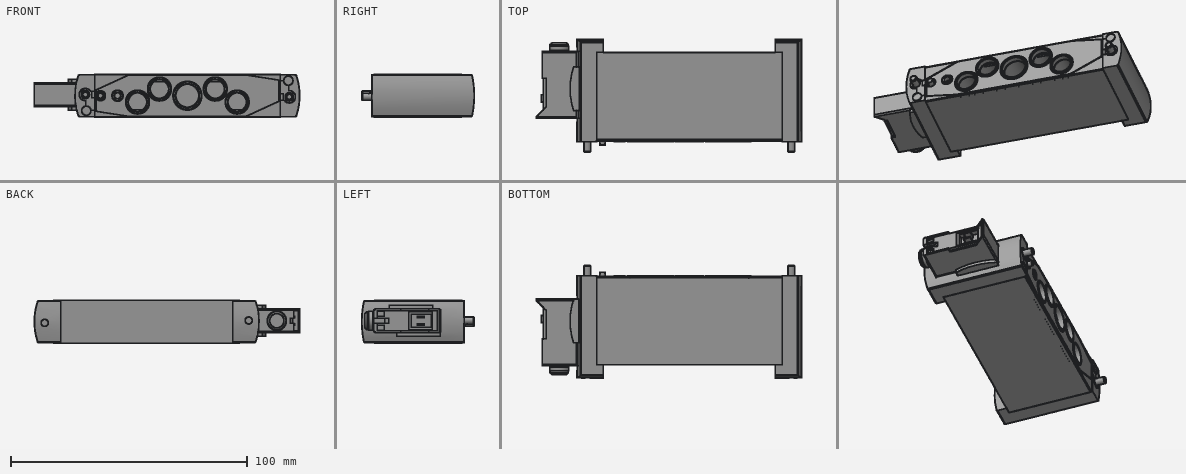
import cadquery as cq


body_half_length = 39.2
body_half_height = 9.15
body_front = 1.0
nose_front = 0.55
nose_half_height = 8.9
body_back = 37.8

cap_half_height = 8.95
cap_end = 47.5
cap_end_shoulder = 46.1
cap_back = 43.3
cap_back_shoulder = 42.4
cap_bevel_run = 0.5
cap_bevel_drop = 0.4
cap_hook_inner = 36.3

gasket_front = 0.27
gasket_back = 2.6
ear_back = 1.0
ear_bridge_front = 0.5
ear_dimple_depth = 0.2
gasket_outline = [
    (-25.0, 8.65), (-38.6, 2.4), (-38.6, -6.6), (-25.2, -8.65),
    (25.0, -8.65), (38.6, -2.4), (38.6, 6.6), (25.2, 8.65),
]
lip_slope = 0.26
main_port_diameter = 10.1
main_lip_diameter = 12.2
side_port_diameter = 8.1
main_passage_diameter = 9.7
side_passage_diameter = 7.8
side_lip_diameter = 10.1
inner_port_x, inner_port_z = 11.8, 2.8
outer_port_x, outer_port_z = 21.05, -2.7
port_depth = 10.0
port_flat = 5.95
port_shelf_thickness = 1.2
pilot_port_x = -29.5
pilot_lip_diameter = 4.75
pilot_port_diameter = 2.6
pilot_port_depth = 5.0

ear_corner_x = 42.9
ear_inner_x = 38.0
ear_bottom_z = -6.25
ear_button_x, ear_button_z = -42.7, -6.35
ear_button_diameter = 3.9
ear_ring_diameter = 5.2
ear_hole_diameter = 3.5
ear_slot_end_x = 40.5
ear_slot_width = 2.7
ear_slot_depth = 0.3

screw_x, screw_z = -43.1, 0.5
screw_diameter = 3.0
screw_tip = -4.3
screw_back = 40.0
screw_bevel = 0.4

locating_pin_x = -36.7
locating_pin_diameter = 3.0
locating_pin_tip_diameter = 2.2
locating_pin_tip = -1.4
locating_pin_clearance = 4.2

pilot_z = 0.4
pilot_height = 10.0
pilot_neck = -47.7
neck_height = 9.4
pilot_root = -46.0
pilot_face = -62.2
pilot_side_face = -60.4
pilot_core_face = -61.8
pilot_flare_tip = -64.7
pilot_front, pilot_back = 9.9, 38.2
pilot_lip = 0.7
pilot_bevel = 0.65
side_wall_back = 26.8
flare_run = pilot_side_face - pilot_flare_tip
flare_start = pilot_front + pilot_lip + flare_run
core_height = 8.5
core_front = 11.3
core_back = 36.7

socket_rim_front, socket_rim_back = 13.4, 23.4
socket_rim_height = 7.6
socket_rim_depth = 0.7
socket_front, socket_back = 14.0, 22.4
socket_height = 5.6
socket_depth = 3.0
contact_front, contact_back = 16.8, 19.9
contact_thickness = 0.6
contact_offset = 1.5
contact_tip = -62.6

catch_front, catch_back = 33.8, 36.7
catch_inner, catch_outer = 2.0, 4.1
catch_depth = 0.8
groove_front = 31.9
groove_ramp = 1.6
groove_width = 2.1
groove_depth = 1.2

knob_x = -55.0
knob_diameter = 7.8
knob_rib_diameter = 8.1
knob_rib_start, knob_rib_end = 0.5, 2.1
knob_height = 3.7
knob_bevel = 0.9

fin_tip = -50.4
fin_shoulder = -48.9
fin_root = -46.3
fin_length = 18.5
fin_thickness = 1.6
upper_fin_front = 13.2
lower_fin_front = 10.0


def box(x_start, x_end, y_start, y_end, z_start, z_end):
    """Block between the given limits."""
    size = (x_end - x_start, y_end - y_start, z_end - z_start)
    return cq.Workplane("XY", origin=(x_start, y_start, z_start)).box(*size, centered=False)


def rod(x, z, diameter, y_start, y_end):
    """Cylinder along Y."""
    plane = cq.Workplane("XZ", origin=(x, y_start, z))
    return plane.circle(diameter / 2).extrude(y_start - y_end)


def half_turn(shape):
    """The valve face repeats at its other end after half a turn about Y."""
    return shape.rotate((0, 0, 0), (0, 1, 0), 180)


def crowned_outline(plane, inner, shoulder, crown):
    """Section whose outer end is bevelled and bulges to a crown at mid height."""
    edge = cap_half_height - cap_bevel_drop
    return (
        plane.moveTo(inner, -cap_half_height)
        .lineTo(shoulder - cap_bevel_run, -cap_half_height)
        .lineTo(shoulder, -edge)
        .threePointArc((crown, 0), (shoulder, edge))
        .lineTo(shoulder - cap_bevel_run, cap_half_height)
        .lineTo(inner, cap_half_height)
        .close()
    )


def end_cap():
    """Right end cap: rounded outer end and back, hooked behind the body."""
    end_section = crowned_outline(
        cq.Workplane("XZ"), cap_hook_inner, cap_end_shoulder, cap_end
    ).extrude(-cap_back)
    back_section = crowned_outline(
        cq.Workplane("YZ"), 0, cap_back_shoulder, cap_back
    ).extrude(cap_end)
    body_space = box(
        0, body_half_length, 0, body_back, -body_half_height, body_half_height
    )
    return end_section.intersect(back_section).cut(body_space)


def ear_blank():
    """Left gasket ear, without holes: web, button and the ring around the screw."""
    web = box(
        -ear_corner_x, -ear_inner_x, 0, ear_back,
        ear_bottom_z, screw_z + ear_slot_width / 2,
    )
    button = rod(ear_button_x, ear_button_z, ear_button_diameter, 0, ear_back)
    ring = rod(screw_x, screw_z, ear_ring_diameter, 0, ear_back)
    return web.union(button).union(ring)


def side_ports():
    """Centres of the four side ports."""
    return [
        (side * x, z)
        for side in (-1, 1)
        for x, z in ((inner_port_x, inner_port_z), (outer_port_x, outer_port_z))
    ]


def side_port_passage(x, z):
    """Side port passage with a thin straight shelf towards the nearer broad face."""
    bore = rod(x, z, side_passage_diameter, gasket_back, gasket_back + port_depth)
    side = 1 if z > 0 else -1
    z_low, z_high = sorted((side * port_flat, side * body_half_height))
    shelf = box(
        x - side_passage_diameter, x + side_passage_diameter,
        gasket_back, gasket_back + port_shelf_thickness, z_low, z_high,
    )
    return bore.cut(shelf)


def clip_fin(front, z_start):
    """Thin fin on the left cap with a bowed outer edge."""
    back = front + fin_length
    return (
        cq.Workplane("XY", origin=(0, 0, z_start))
        .moveTo(fin_root, front)
        .lineTo(fin_shoulder, front)
        .threePointArc((fin_tip, (front + back) / 2), (fin_shoulder, back))
        .lineTo(fin_root, back)
        .close()
        .extrude(fin_thickness)
    )


def gasket_plate():
    """Solid plate in the shape of the gasket outline."""
    return (
        cq.Workplane("XZ", origin=(0, gasket_back, 0))
        .polyline(gasket_outline)
        .close()
        .extrude(gasket_back - gasket_front)
    )


def make_housing():
    """Body with both end caps, clip fins, port passages and locating pin."""
    housing = box(
        -body_half_length, body_half_length, body_front, body_back,
        -body_half_height, body_half_height,
    )
    nose = box(
        -body_half_length, body_half_length, nose_front, body_front,
        -nose_half_height, nose_half_height,
    )
    housing = housing.union(nose).cut(gasket_plate())
    right_cap = end_cap()
    housing = housing.union(right_cap).union(half_turn(right_cap))

    pilot_top = pilot_z + pilot_height / 2
    pilot_bottom = pilot_z - pilot_height / 2
    housing = housing.union(clip_fin(upper_fin_front, pilot_top))
    housing = housing.union(clip_fin(lower_fin_front, pilot_bottom - fin_thickness))

    for x, z in side_ports():
        housing = housing.cut(side_port_passage(x, z))
    housing = housing.cut(
        rod(0, 0, main_passage_diameter, gasket_back, gasket_back + port_depth)
    )
    housing = housing.cut(
        rod(pilot_port_x, 0, pilot_port_diameter, gasket_back, gasket_back + pilot_port_depth)
    )

    ear = ear_blank()
    screw_hole = rod(screw_x, screw_z, screw_diameter, 0, cap_back)
    for cutter in (ear, screw_hole):
        housing = housing.cut(cutter).cut(half_turn(cutter))

    pin = (
        cq.Workplane("XZ", origin=(locating_pin_x, gasket_back, 0))
        .circle(locating_pin_diameter / 2)
        .workplane(offset=gasket_back - locating_pin_tip)
        .circle(locating_pin_tip_diameter / 2)
        .loft()
    )
    return housing.union(pin)


def sealing_lip(x, z, diameter):
    """Raised disc with a sloped rim that stands out to the mounting face."""
    return rod(x, z, diameter, 0, gasket_back).faces("<Y").chamfer(lip_slope)


def make_gasket():
    """Flat gasket with lips around the ports and an ear around each screw."""
    slot = box(
        -ear_slot_end_x, -body_half_length, 0, ear_slot_depth,
        screw_z - ear_slot_width / 2, screw_z + ear_slot_width / 2,
    )
    bridge_step = box(
        -body_half_length, -ear_inner_x, 0, ear_bridge_front,
        -body_half_height, body_half_height,
    )
    dimple = rod(ear_button_x, ear_button_z, ear_button_diameter, 0, ear_dimple_depth)
    ring_hole = rod(screw_x, screw_z, ear_hole_diameter, 0, ear_back)
    ear = ear_blank()
    for cutter in (bridge_step, slot, dimple, ring_hole):
        ear = ear.cut(cutter)
    gasket = gasket_plate().union(ear).union(half_turn(ear))

    ports = [(x, z, side_lip_diameter, side_port_diameter) for x, z in side_ports()]
    ports.append((0, 0, main_lip_diameter, main_port_diameter))
    ports.append((pilot_port_x, 0, pilot_lip_diameter, pilot_port_diameter))
    for x, z, lip_diameter, _ in ports:
        gasket = gasket.union(sealing_lip(x, z, lip_diameter))
    for x, z, _, port_diameter in ports:
        gasket = gasket.cut(rod(x, z, port_diameter, 0, gasket_back))
    return gasket.cut(rod(locating_pin_x, 0, locating_pin_clearance, 0, gasket_back))


def pilot_knob():
    """Round ribbed knob on the back of the solenoid."""
    knob = rod(knob_x, pilot_z, knob_diameter, pilot_back, pilot_back + knob_height)
    knob = knob.faces(">Y").chamfer(knob_bevel)
    rib = rod(
        knob_x, pilot_z, knob_rib_diameter, pilot_back + knob_rib_start, pilot_back + knob_rib_end
    )
    return knob.union(rib)


def pilot_block(y_start, y_end, height, outer_face, depth):
    """Block centred on the solenoid's mid height, reaching inwards from a face."""
    return box(
        outer_face, outer_face + depth, y_start, y_end,
        pilot_z - height / 2, pilot_z + height / 2,
    )


def make_pilot():
    """Pilot solenoid with flared edge, plug socket, contacts and knob."""
    pilot = (
        cq.Workplane("XY", origin=(0, 0, pilot_z - pilot_height / 2))
        .polyline([
            (pilot_neck, pilot_back),
            (pilot_face, pilot_back),
            (pilot_face, side_wall_back),
            (pilot_side_face, side_wall_back),
            (pilot_side_face, flare_start),
            (pilot_flare_tip, pilot_front + pilot_lip),
            (pilot_flare_tip, pilot_front),
            (pilot_neck, pilot_front),
        ])
        .close()
        .extrude(pilot_height)
    )
    pilot = pilot.faces("<Y or >Y").edges("|X").chamfer(pilot_bevel)
    pilot = pilot.union(pilot_block(
        pilot_front, pilot_back, neck_height, pilot_neck, pilot_root - pilot_neck
    ))

    pilot = pilot.union(pilot_block(
        core_front, core_back, core_height, pilot_core_face, pilot_side_face - pilot_core_face
    ))
    pilot = pilot.cut(pilot_block(
        core_front, core_back, core_height, pilot_flare_tip, pilot_core_face - pilot_flare_tip
    ))

    pilot = pilot.cut(pilot_block(
        socket_rim_front, socket_rim_back, socket_rim_height, pilot_core_face, socket_rim_depth
    ))
    pilot = pilot.cut(pilot_block(
        socket_front, socket_back, socket_height, pilot_core_face, socket_depth
    ))
    for side in (-1, 1):
        z = pilot_z + side * contact_offset
        pilot = pilot.union(box(
            contact_tip, pilot_core_face + socket_depth, contact_front, contact_back,
            z - contact_thickness / 2, z + contact_thickness / 2,
        ))

    for side in (-1, 1):
        z_low, z_high = sorted((pilot_z + side * catch_inner, pilot_z + side * catch_outer))
        pilot = pilot.cut(box(
            pilot_core_face, pilot_core_face + catch_depth, catch_front, catch_back, z_low, z_high
        ))
    groove = (
        cq.Workplane("XY", origin=(0, 0, pilot_z - groove_width / 2))
        .polyline([
            (pilot_core_face, groove_front),
            (pilot_core_face + groove_depth, groove_front + groove_ramp),
            (pilot_core_face + groove_depth, pilot_back),
            (pilot_face, pilot_back),
            (pilot_face, groove_front),
        ])
        .close()
        .extrude(groove_width)
    )
    return pilot.cut(groove).union(pilot_knob())


def make_screw():
    """Left mounting screw."""
    screw = rod(screw_x, screw_z, screw_diameter, screw_tip, screw_back)
    return screw.faces("<Y").chamfer(screw_bevel)


gasket = make_gasket()
pilot = make_pilot()
housing = make_housing().cut(pilot)
left_screw = make_screw()
screws = [left_screw, half_turn(left_screw)]

result = cq.Compound.makeCompound(
    [body.solids().val() for body in (housing, gasket, pilot, *screws)]
)